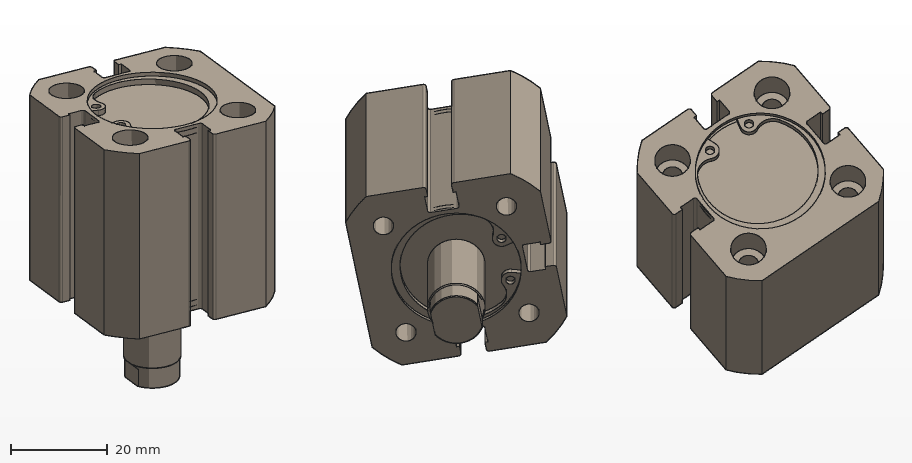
import cadquery as cq
import math


total_height = 63.5
housing_width = 41.0
housing_height = 42.6
corner_radius = 25.5
bore_radius = 13.45

bolt_offset = 12.95
bolt_radius = 2.1
counterbore_radius = 3.7
counterbore_depth = 7.0

slot_mouth_width = 5.35
slot_inner_width = 6.6
slot_lip = 2.3
slot_mouth_fillet = 0.6
slot_corner_fillet = 0.5
side_slot_floor = 14.35
front_slot_floor = 14.5

ring_recess = 0.9
ring_thickness = 1.3
groove_radius = 14.3
ring_inner_radius = 12.5
ring_inner_offset = 0.9
lug_x = 5.1
lug_y = -10.5
lug_radius = 1.9
lug_hole_radius = 0.95
lug_blend_radius = 3.6

cover_thickness = 6.35

rod_radius = 6.0
rod_neck_radius = 5.7
rod_shoulder_drop = 16.0
flat_distance = 4.95
flat_drop = 16.9
rod_tip_chamfer = 0.2

half_width = housing_width / 2
rod_length_outside = total_height - housing_height
cover_recess = ring_recess + ring_thickness
top_ring_z = housing_height - cover_recess
bottom_ring_z = ring_recess
head_cover_z = housing_height - cover_recess - cover_thickness
rod_cover_z = cover_recess


def cylinder(radius, bottom, height):
    return cq.Workplane("XY").workplane(offset=bottom).circle(radius).extrude(height)


def slot_cutter(floor_distance):
    """T-shaped slot in the +X side, along the whole housing."""
    lip_x = half_width - slot_lip
    mouth_half = slot_mouth_width / 2
    inner_half = slot_inner_width / 2
    arc_inset = slot_mouth_fillet * (1 - math.sqrt(0.5))

    profile = (
        cq.Workplane("XY")
        .moveTo(half_width, mouth_half + slot_mouth_fillet)
        .threePointArc(
            (half_width - arc_inset, mouth_half + arc_inset),
            (half_width - slot_mouth_fillet, mouth_half),
        )
        .lineTo(lip_x, mouth_half)
        .lineTo(lip_x, inner_half)
        .lineTo(floor_distance, inner_half)
        .lineTo(floor_distance, -inner_half)
        .lineTo(lip_x, -inner_half)
        .lineTo(lip_x, -mouth_half)
        .lineTo(half_width - slot_mouth_fillet, -mouth_half)
        .threePointArc(
            (half_width - arc_inset, -mouth_half - arc_inset),
            (half_width, -mouth_half - slot_mouth_fillet),
        )
        .close()
    )
    return profile.extrude(housing_height).edges("|Z and <X").fillet(slot_corner_fillet)


def make_housing():
    body = cq.Workplane("XY").rect(housing_width, housing_width).extrude(housing_height)
    body = body.intersect(cylinder(corner_radius, 0, housing_height))

    for angle, floor_distance in ((0, side_slot_floor), (180, side_slot_floor), (-90, front_slot_floor)):
        slot = slot_cutter(floor_distance).rotate((0, 0, 0), (0, 0, 1), angle)
        body = body.cut(slot)

    body = body.cut(cylinder(bore_radius, 0, housing_height))
    for ring_z in (bottom_ring_z, top_ring_z):
        body = body.cut(cylinder(groove_radius, ring_z, ring_thickness))

    return (
        body.faces(">Z")
        .workplane(origin=(0, 0, housing_height))
        .rect(2 * bolt_offset, 2 * bolt_offset, forConstruction=True)
        .vertices()
        .cboreHole(2 * bolt_radius, 2 * counterbore_radius, counterbore_depth)
    )


def point_towards(start, target, distance):
    """Point at the given distance from start, on the line through target."""
    span = math.dist(start, target)
    return tuple(s + (t - s) * distance / span for s, t in zip(start, target))


def make_snap_ring(bottom):
    """Open ring with its gap at -Y and a drilled lug at each end of the gap."""
    inner_center = (0, -ring_inner_offset)
    lug = (lug_x, lug_y)

    lug_distance = math.hypot(lug_x, lug_y)
    gap_angle = math.atan2(lug_y, lug_x) - math.asin(lug_radius / lug_distance)
    gap_direction = (math.cos(gap_angle), math.sin(gap_angle))
    tangent_distance = math.sqrt(lug_distance**2 - lug_radius**2)
    gap_outer = tuple(groove_radius * c for c in gap_direction)
    gap_inner = tuple(tangent_distance * c for c in gap_direction)

    to_inner = ring_inner_radius - lug_blend_radius
    to_lug = lug_radius + lug_blend_radius
    span = math.dist(inner_center, lug)
    along = (to_inner**2 - to_lug**2 + span**2) / (2 * span)
    across = math.sqrt(to_inner**2 - along**2)
    axis = ((lug[0] - inner_center[0]) / span, (lug[1] - inner_center[1]) / span)
    blend_center = (
        inner_center[0] + along * axis[0] - across * axis[1],
        inner_center[1] + along * axis[1] + across * axis[0],
    )
    blend_on_lug = point_towards(lug, blend_center, lug_radius)
    blend_on_inner = point_towards(inner_center, blend_center, ring_inner_radius)

    lug_chord_middle = tuple((a + b) / 2 for a, b in zip(gap_inner, blend_on_lug))
    lug_middle = point_towards(lug, lug_chord_middle, lug_radius)
    blend_chord_middle = tuple((a + b) / 2 for a, b in zip(blend_on_lug, blend_on_inner))
    blend_middle = point_towards(blend_center, blend_chord_middle, lug_blend_radius)

    def mirrored(point):
        return (-point[0], point[1])

    outline = (
        cq.Workplane("XY")
        .workplane(offset=bottom)
        .moveTo(*gap_outer)
        .threePointArc((0, groove_radius), mirrored(gap_outer))
        .lineTo(*mirrored(gap_inner))
        .threePointArc(mirrored(lug_middle), mirrored(blend_on_lug))
        .threePointArc(mirrored(blend_middle), mirrored(blend_on_inner))
        .threePointArc((0, ring_inner_radius - ring_inner_offset), blend_on_inner)
        .threePointArc(blend_middle, blend_on_lug)
        .threePointArc(lug_middle, gap_inner)
        .close()
    )
    ring = outline.extrude(ring_thickness)
    for side in (-1, 1):
        hole = cylinder(lug_hole_radius, bottom, ring_thickness).translate((side * lug_x, lug_y, 0))
        ring = ring.cut(hole)
    return ring


def make_head_cover():
    return cylinder(bore_radius, head_cover_z, cover_thickness)


def make_rod_cover():
    cover = cylinder(bore_radius, rod_cover_z, cover_thickness)
    return cover.cut(cylinder(rod_radius, rod_cover_z, cover_thickness))


def make_piston_rod():
    """Rod from the head cover to its tip, with a stepped end and two wrench flats."""
    tip_z = -rod_length_outside
    shoulder_chamfer = rod_radius - rod_neck_radius
    rod = (
        cq.Workplane("XZ")
        .moveTo(0, head_cover_z)
        .lineTo(rod_radius, head_cover_z)
        .lineTo(rod_radius, -rod_shoulder_drop)
        .lineTo(rod_neck_radius, -rod_shoulder_drop - shoulder_chamfer)
        .lineTo(rod_neck_radius, tip_z + rod_tip_chamfer)
        .lineTo(rod_neck_radius - rod_tip_chamfer, tip_z)
        .lineTo(0, tip_z)
        .close()
        .revolve(360, (0, 0, 0), (0, 1, 0))
    )

    slope = rod_radius - flat_distance
    flat = (
        cq.Workplane("YZ")
        .moveTo(flat_distance, tip_z)
        .lineTo(flat_distance, -flat_drop)
        .lineTo(flat_distance + slope, -flat_drop + slope)
        .lineTo(flat_distance + slope, tip_z)
        .close()
        .extrude(rod_radius, both=True)
    )
    return rod.cut(flat).cut(flat.mirror("XZ"))


housing = make_housing()
snap_rings = [make_snap_ring(ring_z) for ring_z in (bottom_ring_z, top_ring_z)]
head_cover = make_head_cover()
rod_cover = make_rod_cover()
piston_rod = make_piston_rod()

result = cq.Compound.makeCompound(
    [
        housing.val(),
        *[ring.val() for ring in snap_rings],
        head_cover.val(),
        rod_cover.val(),
        piston_rod.val(),
    ]
)